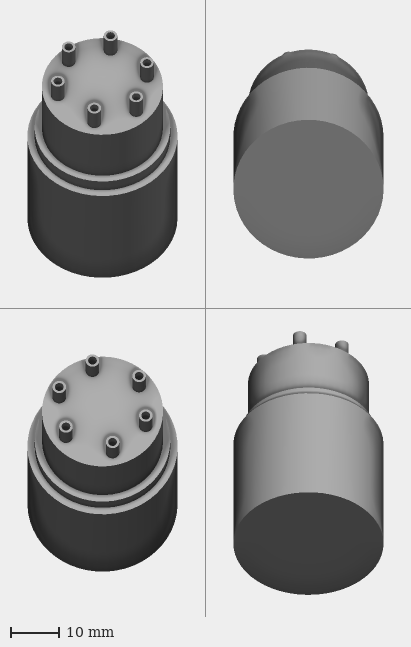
import cadquery as cq
import math

body_steps = [(31, 28), (28, 31), (25, 45)]
body_top = body_steps[-1][1]

overall_height = 50
pin_length = overall_height - body_top
pin_diameter = 2.8
pin_bore_diameter = 1.8
pin_bore_depth = pin_length
pin_circle_radius = 9.5
pin_row_offset = 8


def make_body():
    """Stack the steps as coaxial cylinders."""
    body = cq.Workplane("XY")
    bottom = 0
    for diameter, top in body_steps:
        step = cq.Workplane("XY", origin=(0, 0, bottom)).circle(diameter / 2).extrude(top - bottom)
        body = body.union(step)
        bottom = top
    return body


def pin_centres():
    """Two pins on the X axis and two in each outer row, all on one circle."""
    row_half_spacing = math.sqrt(pin_circle_radius**2 - pin_row_offset**2)
    centres = []
    for side in (-1, 1):
        centres.append((side * pin_circle_radius, 0))
        for row in (-1, 1):
            centres.append((side * row_half_spacing, row * pin_row_offset))
    return centres


centres = pin_centres()
pins = (
    cq.Workplane("XY", origin=(0, 0, body_top))
    .pushPoints(centres)
    .circle(pin_diameter / 2)
    .extrude(pin_length)
)
bores = (
    cq.Workplane("XY", origin=(0, 0, overall_height))
    .pushPoints(centres)
    .circle(pin_bore_diameter / 2)
    .extrude(-pin_bore_depth)
)

result = make_body().union(pins).cut(bores)